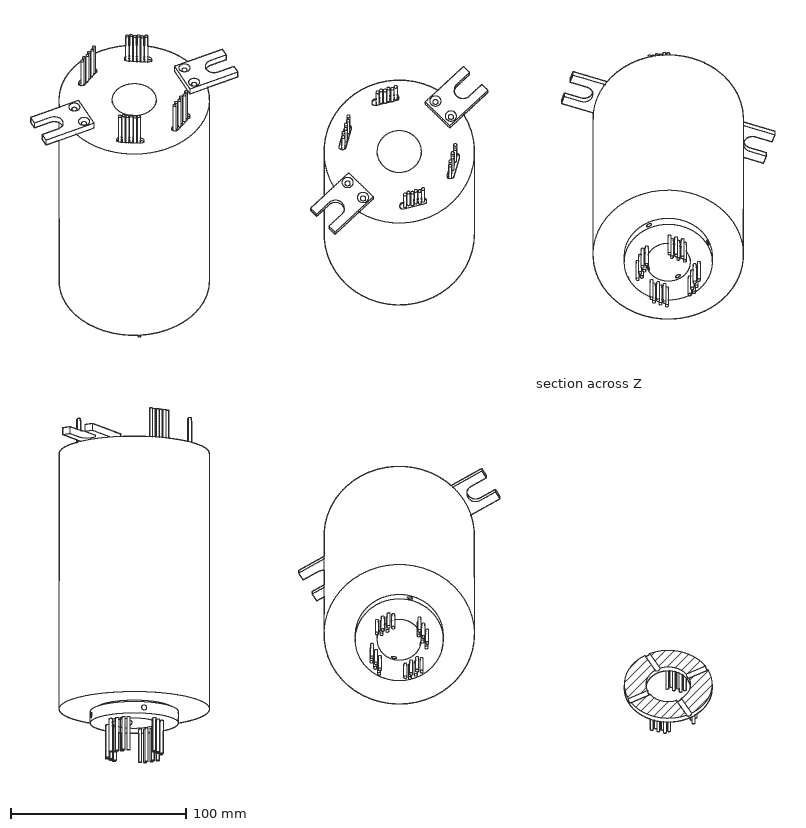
import cadquery as cq
import math

total_height = 196.8
tab_span = 122.0

body_diameter = 86.0
body_height = 150.0
neck_diameter = 44.0
neck_height = 1.5
ring_diameter = 50.4
ring_height = 6.7
bore_diameter = 25.2

ring_top = -neck_height
ring_bottom = ring_top - ring_height

set_screw_diameter = 3.0
set_screw_angles = (45, 135, 225, 315)

tab_width = 20.0
tab_length = 30.5
tab_thickness = 4.1
fork_width = 10.0
fork_depth = 15.2
screw_spacing = 12.5
screw_edge_distance = 4.5
screw_hole_diameter = 3.0
screw_head_diameter = 6.3
countersink_angle = 90
screw_hole_depth = 11.8
drill_tip_angle = 118

wire_diameter = 1.8
wires_per_row = 6

upper_wire_length = 19.3
slot_radius = 32.0
slot_length = 15.7
slot_width = 4.0
slot_depth = 2.0
upper_row_inset = 0.4
upper_stagger = 0.3
loose_pitch = 2.5
tight_pitch = 2.2
tight_row_shift = 0.69
upper_rows = (
    (30, loose_pitch, 0),
    (150, tight_pitch, tight_row_shift),
    (210, loose_pitch, 0),
    (330, tight_pitch, -tight_row_shift),
)

lower_wire_length = total_height - upper_wire_length - body_height - neck_height - ring_height
lower_row_radius = 15.7
lower_stagger = 0.89
wide_pitch = 2.2
narrow_pitch = 2.0
lower_rows = ((0, narrow_pitch), (90, wide_pitch), (180, narrow_pitch), (270, wide_pitch))


def cylinder(diameter, bottom, height):
    """Upright cylinder on the Z axis."""
    return cq.Workplane("XY").workplane(offset=bottom).circle(diameter / 2).extrude(height)


def make_body():
    """Drum with the neck and clamping ring below it, before boring."""
    drum = cylinder(body_diameter, 0, body_height)
    neck = cylinder(neck_diameter, ring_top, neck_height)
    ring = cylinder(ring_diameter, ring_bottom, ring_height)
    return drum.union(neck).union(ring)


def make_tab():
    """Forked tab reaching out along +Y, resting on the body."""
    outer_end = tab_span / 2
    plate = (
        cq.Workplane("XY", origin=(0, outer_end - tab_length / 2, body_height))
        .rect(tab_width, tab_length)
        .extrude(tab_thickness)
    )
    fork = (
        cq.Workplane("XY", origin=(0, outer_end, body_height))
        .slot2D(2 * fork_depth, fork_width, 90)
        .extrude(tab_thickness)
    )
    return plate.cut(fork)


def make_screw_hole():
    """Cutter for one blind tab screw hole on the Z axis: countersink, bore and conical drill tip."""
    tab_top = body_height + tab_thickness
    floor = tab_top - screw_hole_depth
    head_radius = screw_head_diameter / 2
    hole_radius = screw_hole_diameter / 2
    countersink_depth = (head_radius - hole_radius) / math.tan(math.radians(countersink_angle / 2))
    tip_depth = hole_radius / math.tan(math.radians(drill_tip_angle / 2))
    return (
        cq.Workplane("XZ")
        .moveTo(0, tab_top)
        .lineTo(head_radius, tab_top)
        .lineTo(hole_radius, tab_top - countersink_depth)
        .lineTo(hole_radius, floor)
        .lineTo(0, floor - tip_depth)
        .close()
        .revolve(360, (0, 0), (0, 1))
    )


def make_slot(angle):
    """Cutter for one tangential slot in the top face."""
    return (
        cq.Workplane("XY", origin=(slot_radius, 0, body_height - slot_depth))
        .slot2D(slot_length, slot_width, 90)
        .extrude(slot_depth)
        .rotate((0, 0, 0), (0, 0, 1), angle)
    )


def make_wire_row(angle, radius, pitch, shift, stagger, bottom, height):
    """Tangential row of wires; alternate wires step in and out by the stagger."""
    middle = (wires_per_row - 1) / 2
    points = []
    for i in range(wires_per_row):
        side = 1 if i % 2 == 0 else -1
        points.append((radius + side * stagger, shift + (i - middle) * pitch))
    return (
        cq.Workplane("XY")
        .workplane(offset=bottom)
        .pushPoints(points)
        .circle(wire_diameter / 2)
        .extrude(height)
        .rotate((0, 0, 0), (0, 0, 1), angle)
    )


def make_set_screw_hole(angle):
    """Cutter for a radial hole from the ring's rim to the bore."""
    return (
        cq.Workplane("YZ", origin=(0, 0, ring_bottom + ring_height / 2))
        .circle(set_screw_diameter / 2)
        .extrude(ring_diameter)
        .rotate((0, 0, 0), (0, 0, 1), angle)
    )


result = make_body()

tab = make_tab()
result = result.union(tab).union(tab.mirror("XZ"))
screw_y = tab_span / 2 - tab_length + screw_edge_distance
for x in (-screw_spacing / 2, screw_spacing / 2):
    for y in (-screw_y, screw_y):
        result = result.cut(make_screw_hole().translate((x, y, 0)))

result = result.cut(cylinder(bore_diameter, ring_bottom, total_height))
for angle in set_screw_angles:
    result = result.cut(make_set_screw_hole(angle))

for angle, pitch, shift in upper_rows:
    result = result.cut(make_slot(angle))
    result = result.union(
        make_wire_row(angle, slot_radius - upper_row_inset, pitch, shift, upper_stagger,
                      body_height - slot_depth, upper_wire_length + slot_depth)
    )

for angle, pitch in lower_rows:
    result = result.union(
        make_wire_row(angle, lower_row_radius, pitch, 0, lower_stagger,
                      ring_bottom - lower_wire_length, lower_wire_length)
    )